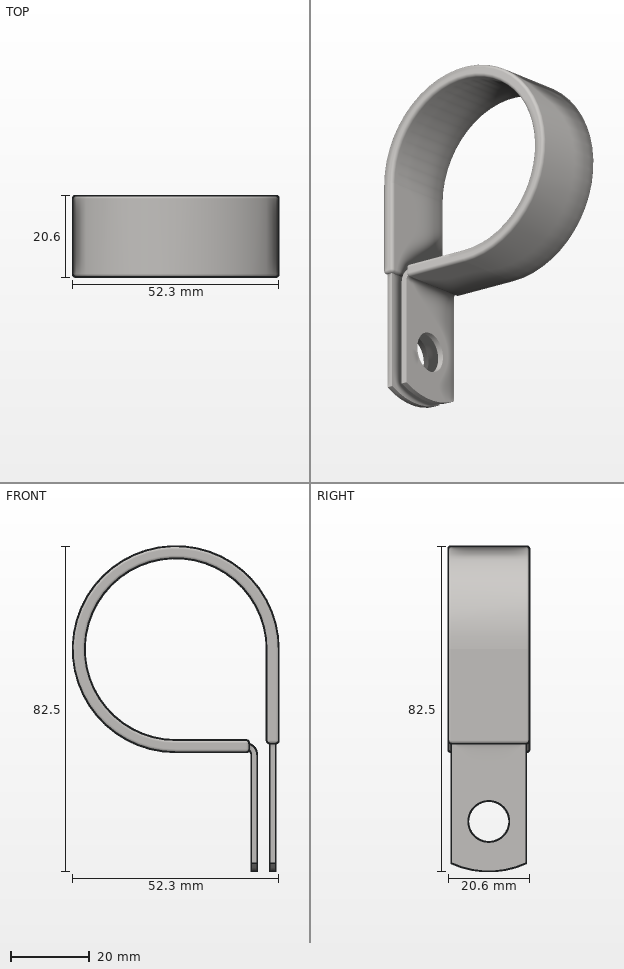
import cadquery as cq
import math

strap_width = 19.05
strap_thickness = 1.55
bend_outer_radius = 3.0
bent_leg_outer_x = 20.65
leg_end_z = -56.335
tip_corner_height = 2.1
hole_diameter = 10.3
hole_to_tip = 12.7

cushion_cover = 0.795
cushion_outer_radius = 26.125
cushion_straight_end_z = -23.9
cushion_bottom_end_x = 18.6

loop_middle_angle = 45
cushion_thickness = strap_thickness + 2 * cushion_cover
cushion_width = strap_width + 2 * cushion_cover
loop_radius = cushion_outer_radius - cushion_thickness / 2
bend_radius = bend_outer_radius - strap_thickness / 2
bent_leg_x = bent_leg_outer_x - strap_thickness / 2
hole_z = leg_end_z + hole_to_tip


def loop_path(right_end_z):
    """Centreline in the XZ plane: up the right side, then round the loop to its lowest point."""
    loop_middle = -loop_radius * math.cos(math.radians(loop_middle_angle))
    return (
        cq.Workplane("XZ")
        .moveTo(loop_radius, right_end_z)
        .lineTo(loop_radius, 0)
        .threePointArc((loop_middle, -loop_middle), (0, -loop_radius))
    )


def sweep_band(path, start_z, thickness, width):
    """Rectangular section swept along a path that starts upwards on the right side."""
    return cq.Workplane("XY", origin=(loop_radius, 0, start_z)).rect(thickness, width).sweep(path)


def make_cushion():
    path = loop_path(cushion_straight_end_z).lineTo(cushion_bottom_end_x, -loop_radius)
    body = sweep_band(path, cushion_straight_end_z, cushion_thickness, cushion_width)
    return body.edges().fillet(cushion_cover)


def make_strap():
    bend_start_x = bent_leg_x - bend_radius
    bend_end_z = -loop_radius - bend_radius
    path = (
        loop_path(leg_end_z)
        .lineTo(bend_start_x, -loop_radius)
        .radiusArc((bent_leg_x, bend_end_z), bend_radius)
        .lineTo(bent_leg_x, leg_end_z)
    )
    strap = sweep_band(path, leg_end_z, strap_thickness, strap_width)
    return strap.intersect(leg_outline()).cut(bolt_hole())


def leg_outline():
    """Block as wide as the strap whose lower side is the arc of the leg tips, seen along X."""
    half_width = strap_width / 2
    corner_z = leg_end_z + tip_corner_height
    return (
        cq.Workplane("YZ")
        .moveTo(-half_width, cushion_outer_radius)
        .lineTo(-half_width, corner_z)
        .threePointArc((0, leg_end_z), (half_width, corner_z))
        .lineTo(half_width, cushion_outer_radius)
        .close()
        .extrude(cushion_outer_radius, both=True)
    )


def bolt_hole():
    """Cylinder along X that passes through both legs."""
    return (
        cq.Workplane("YZ")
        .center(0, hole_z)
        .circle(hole_diameter / 2)
        .extrude(cushion_outer_radius, both=True)
    )


result = make_strap().union(make_cushion())